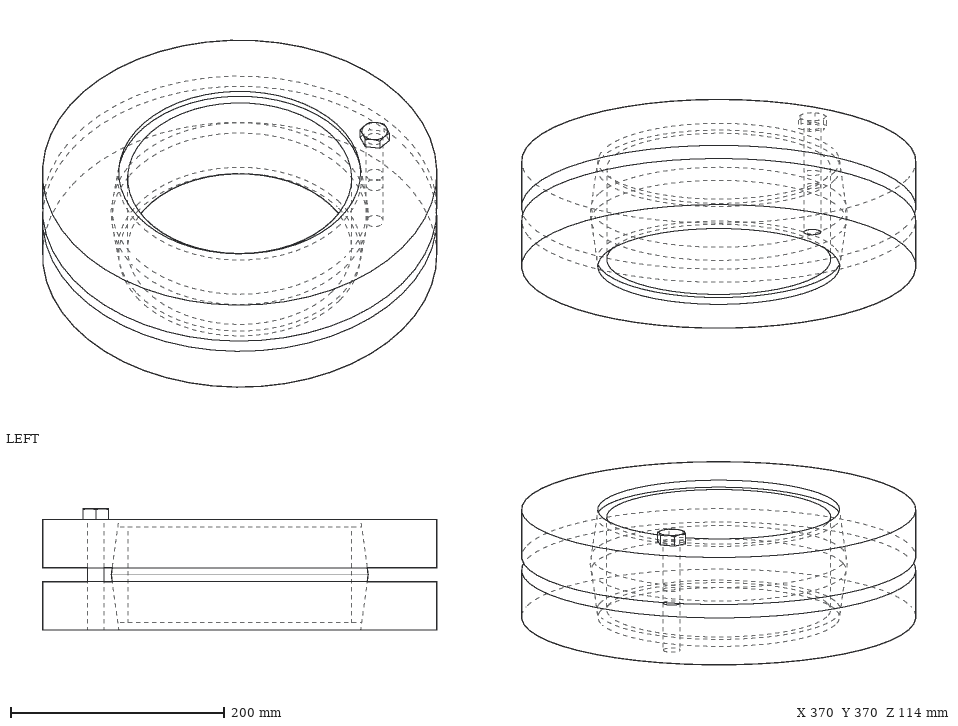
import cadquery as cq
import math

disc_diameter = 370.0
disc_thickness = 45.5
disc_gap = 13.0
stack_height = 2 * disc_thickness + disc_gap
mid_height = stack_height / 2

bore_diameter = 210.0
ridge_diameter = 241.2
disc_mouth_diameter = 226.8
end_recess = 7.0
ring_half_height = mid_height - end_recess
taper = (ridge_diameter - disc_mouth_diameter) / 2 / mid_height

bolt_offset = 135.0
shank_diameter = 16.0
head_height = 10.0
head_across_flats = 24.0
head_across_corners = head_across_flats / math.cos(math.pi / 6)
head_crown_angle = 30.0


def taper_radius(height):
    """Radius of the shared double cone at a given height."""
    return ridge_diameter / 2 - taper * abs(height - mid_height)


def revolve_profile(points):
    """Turn an outline of (radius, height) points around the Z axis."""
    return cq.Workplane("XZ").polyline(points).close().revolve(360, (0, 0, 0), (0, 1, 0))


def make_inner_ring():
    bottom = mid_height - ring_half_height
    top = mid_height + ring_half_height
    return revolve_profile([
        (bore_diameter / 2, bottom),
        (taper_radius(bottom), bottom),
        (ridge_diameter / 2, mid_height),
        (taper_radius(top), top),
        (bore_diameter / 2, top),
    ])


def make_disc(bottom):
    """Clamping disc with a tapered bore and a hole for the bolt."""
    top = bottom + disc_thickness
    disc = revolve_profile([
        (taper_radius(bottom), bottom),
        (disc_diameter / 2, bottom),
        (disc_diameter / 2, top),
        (taper_radius(top), top),
    ])
    bolt_hole = (
        cq.Workplane("XY", origin=(0, bolt_offset, bottom))
        .circle(shank_diameter / 2)
        .extrude(disc_thickness)
    )
    return disc.cut(bolt_hole)


def make_bolt():
    """Bolt with its head on the upper disc and its shank through both discs."""
    head = cq.Workplane("XY").polygon(6, head_across_corners).extrude(head_height)

    crown_radius = head_across_flats / 2
    corner_radius = head_across_corners / 2
    crown_drop = (corner_radius - crown_radius) * math.tan(math.radians(head_crown_angle))
    crown = revolve_profile([
        (0, 0),
        (corner_radius, 0),
        (corner_radius, head_height - crown_drop),
        (crown_radius, head_height),
        (0, head_height),
    ])

    shank = cq.Workplane("XY").circle(shank_diameter / 2).extrude(-stack_height)
    return head.intersect(crown).union(shank).translate((0, bolt_offset, stack_height))


inner_ring = make_inner_ring()
discs = [make_disc(bottom) for bottom in (0, disc_thickness + disc_gap)]
bolt = make_bolt()

result = cq.Compound.makeCompound([
    inner_ring.val(),
    *[disc.val() for disc in discs],
    bolt.val(),
])